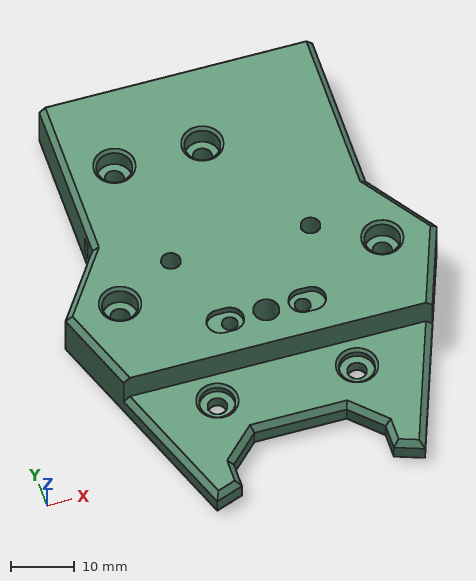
import cadquery as cq
import math


total_width = 61.18
total_length = 76.68
total_height = 8.5
ledge_height = 3.5
edge_chamfer = 1.0

back_y = 47.7
front_y = back_y - total_length
back_width = 45.0
waist_y = 19.7
widest_y = 8.0
step_y = -6.15
taper_angle = math.radians(20)

notch_floor_y = -18.05
notch_floor_width = 15.2
notch_width = 25.0

screw_hole_diameter = 3.1
counterbore_diameter = 5.7
deep_counterbore_floor_z = 5.0
ledge_counterbore_floor_z = 2.0
counterbore_chamfer = 0.5
screw_pitch = 23.0
side_screw_pitch = 43.2
back_screw_spacing = 14.5
back_screw_y = 33.7
side_screw_y = 7.95
front_screw_y = -11.05
plain_hole_y = 13.5

centre_hole_diameter = 4.1
pin_hole_diameter = 2.5
pin_hole_x = 6.0
recess_travel = 1.5
recess_width = 4.5
recess_depth = 1.2

tie_inner_radius = 2.5
tie_outer_radius = 4.0
tie_bottom_z = 2.2
tie_height = 3.2


def mirrored_outline(right_half):
    """Close an outline from its right half, listed from the back to the front."""
    left_half = [(-x, y) for x, y in reversed(right_half)]
    return cq.Workplane("XY").polyline(right_half + left_half).close()


def side_x(y):
    """X of the tapered right side at a given Y."""
    return total_width / 2 - (widest_y - y) * math.tan(taper_angle)


def chamfer_top(solid, plain_edge_ys):
    """Chamfer the top rim, except for the straight edges at the given Y values."""
    rim = solid.faces(">Z").edges().vals()
    chamfered = [edge for edge in rim if not any(lies_along(edge, y) for y in plain_edge_ys)]
    return solid.newObject(chamfered).chamfer(edge_chamfer)


def lies_along(edge, y):
    """True for an edge parallel to X at the given Y."""
    tolerance = 0.001
    return all(abs(vertex.Y - y) < tolerance for vertex in edge.Vertices())


upper_side = [
    (back_width / 2, back_y),
    (back_width / 2, waist_y),
    (total_width / 2, widest_y),
]


def make_body():
    outline = upper_side + [(side_x(step_y), step_y)]
    body = mirrored_outline(outline).extrude(total_height)
    return chamfer_top(body, [back_y, step_y])


def make_ledge():
    """Thin plate under the whole outline, with its notch and square-ended prongs."""
    tip_x = side_x(front_y)
    prong_x = notch_width / 2
    prong_y = front_y + (tip_x - prong_x) * math.tan(taper_angle)
    slope_run = (notch_width - notch_floor_width) / 2
    outline = upper_side + [
        (tip_x, front_y),
        (prong_x, prong_y),
        (prong_x, notch_floor_y - slope_run),
        (notch_floor_width / 2, notch_floor_y),
    ]
    ledge = mirrored_outline(outline).extrude(ledge_height)
    return chamfer_top(ledge, [back_y])


def cylinder(diameter, height, bottom_z=0.0):
    return cq.Workplane("XY").workplane(offset=bottom_z).circle(diameter / 2).extrude(height)


def screw_cutter(top_z, floor_z):
    """Bore, counterbore and lead-in chamfer under a surface at top_z."""
    bore = cylinder(screw_hole_diameter, top_z)
    head = cylinder(counterbore_diameter, top_z - floor_z, floor_z)
    head_radius = counterbore_diameter / 2
    lead_in = cq.Workplane(
        cq.Solid.makeCone(
            head_radius,
            head_radius + counterbore_chamfer,
            counterbore_chamfer,
            pnt=cq.Vector(0, 0, top_z - counterbore_chamfer),
        )
    )
    return bore.union(head).union(lead_in)


def cut_screw_holes(part):
    deep_places = [
        (-back_screw_spacing, back_screw_y),
        (0, back_screw_y),
        (-side_screw_pitch / 2, side_screw_y),
        (side_screw_pitch / 2, side_screw_y),
    ]
    deep_cutter = screw_cutter(total_height, deep_counterbore_floor_z)
    for x, y in deep_places:
        part = part.cut(deep_cutter.translate((x, y, 0)))
    ledge_cutter = screw_cutter(ledge_height, ledge_counterbore_floor_z)
    for side in (-1, 1):
        x = side * screw_pitch / 2
        part = part.cut(ledge_cutter.translate((x, front_screw_y, 0)))
    return part


def cut_plain_holes(part):
    part = part.cut(cylinder(centre_hole_diameter, total_height))
    for side in (-1, 1):
        plain_hole = cylinder(screw_hole_diameter, total_height)
        part = part.cut(plain_hole.translate((side * screw_pitch / 2, plain_hole_y, 0)))
        pin_hole = cylinder(pin_hole_diameter, total_height)
        part = part.cut(pin_hole.translate((side * pin_hole_x, 0, 0)))
        recess = (
            cq.Workplane("XY")
            .workplane(offset=total_height - recess_depth)
            .center(side * (pin_hole_x + recess_travel / 2), 0)
            .slot2D(recess_travel + recess_width, recess_width)
            .extrude(recess_depth)
        )
        part = part.cut(recess)
    return part


def cut_tie_channels(part):
    for side in (-1, 1):
        channel = (
            cq.Workplane("XY")
            .workplane(offset=tie_bottom_z)
            .center(side * back_width / 2, waist_y)
            .circle(tie_outer_radius)
            .circle(tie_inner_radius)
            .extrude(tie_height)
        )
        part = part.cut(channel)
    return part


result = make_body().union(make_ledge())
result = cut_screw_holes(result)
result = cut_plain_holes(result)
result = cut_tie_channels(result)